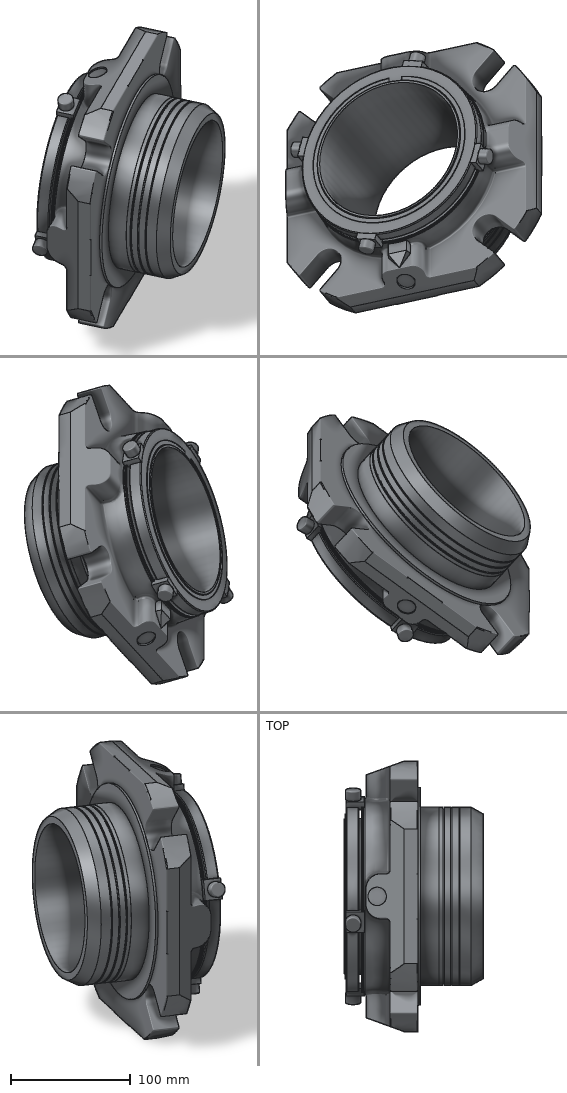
import cadquery as cq
import math

TOLERANCE = 0.01

OVERALL_LENGTH = 115.93
FLANGE_WIDTH = 225.65
BORE_RADIUS = 124.99 / 2

FLANGE_FRONT_X = 38.3
FLANGE_BACK_X = 61.3
BEVEL_START_X = 50.0
BEVEL_ANGLE = 20.0
CORNER_RADIUS = 126.0
SLOT_RADIUS = 12.5
SLOT_CENTER_RADIUS = 102.3
RIM_ROUND = 0.8
SLOT_MOUTH_ROUND = 1.5

GASKET_RADIUS = 90.8
GASKET_BACK_X = 63.4

HUB_FRONT_X = 17.2
HUB_FRONT_RADIUS = 80.2
HUB_BASE_RADIUS = 81.7
HUB_OVERHANG = 8.0
HUB_ROOT_ROUND = 2.5
BOSS_ROOT_ROUND = 3.5
NOSE_FRONT_X = 14.4
NOSE_BACK_X = 16.0
NOSE_RADIUS = 160.27 / 2
NOSE_CHAMFER = 0.4
NECK_RADIUS = 79.4

BOSS_HALF_WIDTH = 18.7
BOSS_FRONT_X = 18.2
BOSS_CORNER_RADIUS = 12.0
LOW_BOSS_FRONT_X = 23.2
LOW_BOSS_CORNER_RADIUS = 8.5
BOSS_BASE_RADIUS = 70.0
BOSS_HEIGHT = FLANGE_WIDTH / 2 - BOSS_BASE_RADIUS
RECESS_DIAMETER = 15.34
RECESS_X = 27.5
LOW_RECESS_X = 37.0
RECESS_DEPTH = 1.6

POINTER_HALF_WIDTH = 10.0
POINTER_SHOULDER_RADIUS = 90.5
POINTER_TIP_RADIUS = 102.0
POINTER_FOLD_RADIUS = 89.5
POINTER_FRONT_X = 18.5
POINTER_DRAFT = 20.0

SLEEVE_RADIUS = 130.15 / 2
SLEEVE_CHAMFER = 0.7
CLAMP_FRONT_X = 1.5
CLAMP_BACK_X = 12.5
CLAMP_RADIUS = 158.75 / 2
CLAMP_CHAMFER = 0.9
COLLAR_FRONT_X = 0.75
COLLAR_RADIUS = 68.8
COLLAR_GAP = 11.5

SCREW_TILT = 15.0
SCREW_X = 7.4
SCREW_HEAD_DIAMETER = 13.0
SCREW_TOP_RADIUS = 92.1
SCREW_EDGE_ROUND = 1.2
PAD_FRONT_X = 1.6
PAD_BACK_X = 16.8
PAD_WIDTH = 17.7
PAD_BASE_RADIUS = 77.0
PAD_TOP_RADIUS = 83.8

BARREL_RADIUS = 148.84 / 2
BARREL_CHAMFER_X = 105.7
BARREL_END_RADIUS = 68.7
BARREL_STEP_X = 79.1
BARREL_STEP_RADIUS = 149.25 / 2
BARREL_GROOVES = (
    (82.3, 1.2, 73.0),
    (88.8, 1.2, 74.0),
    (95.6, 1.0, 74.0),
)


def ring(front_x, back_x, outer_radius, inner_radius=BORE_RADIUS):
    """Plain ring about the X axis."""
    section = cq.Workplane("YZ").workplane(offset=front_x)
    return section.circle(outer_radius).circle(inner_radius).extrude(back_x - front_x)


LARGEST_CIRCLES = cq.selectors.RadiusNthSelector(-1)


def about_axis(body, angle):
    return body.rotate((0, 0, 0), (1, 0, 0), angle)


def edges_where(body, is_wanted):
    return [edge for edge in body.edges().vals() if is_wanted(edge)]


def is_slot_mouth(edge):
    """Straight corner between a slot wall and the turned plate corner."""
    middle = edge.positionAt(0.5)
    at_corner = abs(math.hypot(middle.y, middle.z) - CORNER_RADIUS) < TOLERANCE
    off_sides = max(abs(middle.y), abs(middle.z)) < FLANGE_WIDTH / 2 - TOLERANCE
    return edge.geomType() == "LINE" and at_corner and off_sides


def make_hub():
    """Slightly tapered hub, reaching forward of its front face for the root rounds."""
    slope = (HUB_BASE_RADIUS - HUB_FRONT_RADIUS) / (FLANGE_FRONT_X - HUB_FRONT_X)
    blank_front_x = HUB_FRONT_X - HUB_OVERHANG
    return (
        cq.Workplane("XY")
        .moveTo(blank_front_x, BORE_RADIUS)
        .lineTo(blank_front_x, HUB_FRONT_RADIUS - slope * HUB_OVERHANG)
        .lineTo(FLANGE_FRONT_X, HUB_BASE_RADIUS)
        .lineTo(FLANGE_FRONT_X, BORE_RADIUS)
        .close()
        .revolve(360, (0, 0, 0), (1, 0, 0))
    )


def make_boss(front_x, corner_radius):
    """Boss on the +Z side with a rounded nose."""
    half = BOSS_HALF_WIDTH
    shoulder_x = front_x + corner_radius
    return (
        cq.Workplane("XY")
        .workplane(offset=BOSS_BASE_RADIUS)
        .moveTo(FLANGE_BACK_X, half)
        .lineTo(shoulder_x, half)
        .radiusArc((front_x, half - corner_radius), -corner_radius)
        .lineTo(front_x, corner_radius - half)
        .radiusArc((shoulder_x, -half), -corner_radius)
        .lineTo(FLANGE_BACK_X, -half)
        .close()
        .extrude(BOSS_HEIGHT)
    )


def make_plate():
    """Square plate with turned corners and four open diagonal slots."""
    thickness = FLANGE_BACK_X - FLANGE_FRONT_X
    plane = cq.Workplane("YZ").workplane(offset=FLANGE_FRONT_X)
    plate = plane.rect(FLANGE_WIDTH, FLANGE_WIDTH).extrude(thickness)
    plate = plate.intersect(ring(FLANGE_FRONT_X, FLANGE_BACK_X, CORNER_RADIUS))
    slot_length = CORNER_RADIUS
    slot = (
        plane.center(SLOT_CENTER_RADIUS + slot_length / 2, 0)
        .slot2D(slot_length + 2 * SLOT_RADIUS, 2 * SLOT_RADIUS)
        .extrude(thickness)
    )
    for angle in (45, 135, 225, 315):
        plate = plate.cut(about_axis(slot, angle))
    plate = plate.newObject(edges_where(plate, is_slot_mouth)).fillet(SLOT_MOUTH_ROUND)
    return plate.faces(">X").edges().fillet(RIM_ROUND)


def make_envelope():
    """Square block tapering towards the front; its sides bevel plate and bosses."""
    plane = cq.Workplane("YZ").workplane(offset=BEVEL_START_X)
    block = plane.rect(FLANGE_WIDTH, FLANGE_WIDTH).extrude(FLANGE_BACK_X - BEVEL_START_X)
    bevel = plane.rect(FLANGE_WIDTH, FLANGE_WIDTH).extrude(-BEVEL_START_X, taper=BEVEL_ANGLE)
    return block.union(bevel)


def make_pointer():
    """Drafted arrow plate on the lower boss, its face folding back to its tip."""
    half = POINTER_HALF_WIDTH
    side = (
        cq.Workplane("XZ")
        .moveTo(POINTER_FRONT_X, -BOSS_BASE_RADIUS)
        .lineTo(POINTER_FRONT_X, -POINTER_FOLD_RADIUS)
        .lineTo(LOW_BOSS_FRONT_X, -POINTER_TIP_RADIUS)
        .lineTo(LOW_BOSS_FRONT_X, -BOSS_BASE_RADIUS)
        .close()
        .extrude(half, both=True)
    )
    outline = (
        cq.Workplane("YZ")
        .workplane(offset=LOW_BOSS_FRONT_X)
        .moveTo(-half, -BOSS_BASE_RADIUS)
        .lineTo(-half, -POINTER_SHOULDER_RADIUS)
        .lineTo(0, -POINTER_TIP_RADIUS)
        .lineTo(half, -POINTER_SHOULDER_RADIUS)
        .lineTo(half, -BOSS_BASE_RADIUS)
        .close()
        .extrude(POINTER_FRONT_X - LOW_BOSS_FRONT_X, taper=POINTER_DRAFT)
    )
    return side.intersect(outline)


def make_recess(center_x):
    """Shallow round recess in the +Z bevel, its floor parallel to the bevel."""
    cylinder = (
        cq.Workplane("XY")
        .workplane(offset=BOSS_BASE_RADIUS)
        .center(center_x, 0)
        .circle(RECESS_DIAMETER / 2)
        .extrude(BOSS_HEIGHT)
    )
    return cylinder.cut(make_envelope().translate((0, 0, -RECESS_DEPTH)))


def is_boss_root(edge):
    """Foot of a boss on the hub cone or on the plate front."""
    middle = edge.positionAt(0.5)
    if edge.geomType() == "LINE":
        side = min(abs(middle.y), abs(middle.z))
        return abs(middle.x - FLANGE_FRONT_X) < TOLERANCE and abs(side - BOSS_HALF_WIDTH) < TOLERANCE
    on_hub = BORE_RADIUS + TOLERANCE < math.hypot(middle.y, middle.z) < HUB_BASE_RADIUS - TOLERANCE
    return on_hub and HUB_FRONT_X < middle.x < FLANGE_FRONT_X - TOLERANCE


def is_hub_root(edge):
    """Circle where the hub meets the plate front."""
    middle = edge.positionAt(0.5)
    on_front = abs(middle.x - FLANGE_FRONT_X) < TOLERANCE
    return on_front and abs(math.hypot(middle.y, middle.z) - HUB_BASE_RADIUS) < TOLERANCE


def is_rim(edge):
    """Outer front edge: around the bevelled faces or around the plate front and its slots."""
    if edge.BoundingBox().xmax > BEVEL_START_X - TOLERANCE:
        return False
    middle = edge.positionAt(0.5)
    width = max(abs(middle.y), abs(middle.z))
    side = min(abs(middle.y), abs(middle.z))
    bevel_depth = (BEVEL_START_X - middle.x) * math.tan(math.radians(BEVEL_ANGLE))
    on_bevel = abs(width - (FLANGE_WIDTH / 2 - bevel_depth)) < TOLERANCE
    on_front = abs(middle.x - FLANGE_FRONT_X) < TOLERANCE
    beyond_roots = (
        math.hypot(width, side) > HUB_BASE_RADIUS + HUB_ROOT_ROUND + TOLERANCE
        and side > BOSS_HALF_WIDTH + BOSS_ROOT_ROUND + TOLERANCE
    )
    return on_bevel or (on_front and beyond_roots)


def make_housing():
    """Flange, hub and four bosses, with shallow recesses in the upper and lower bevel."""
    boss = make_boss(BOSS_FRONT_X, BOSS_CORNER_RADIUS)
    low_boss = make_boss(LOW_BOSS_FRONT_X, LOW_BOSS_CORNER_RADIUS)
    housing = make_plate().union(make_hub())
    for angle in (0, 90, 270):
        housing = housing.union(about_axis(boss, angle))
    housing = housing.union(about_axis(low_boss, 180))
    housing = housing.newObject(edges_where(housing, is_boss_root)).fillet(BOSS_ROOT_ROUND)
    housing = housing.newObject(edges_where(housing, is_hub_root)).fillet(HUB_ROOT_ROUND)

    housing = housing.intersect(make_envelope())
    housing = housing.newObject(edges_where(housing, is_rim)).fillet(RIM_ROUND)

    hub_overhang = ring(HUB_FRONT_X - HUB_OVERHANG, HUB_FRONT_X, CORNER_RADIUS)
    housing = housing.cut(hub_overhang).union(make_pointer())
    low_recess = about_axis(make_recess(LOW_RECESS_X), 180)
    return housing.cut(make_recess(RECESS_X)).cut(low_recess)


def make_clamp():
    """Chamfered clamp ring with a split collar and four screws on pads."""
    clamp = ring(CLAMP_FRONT_X, CLAMP_BACK_X, CLAMP_RADIUS)
    clamp = clamp.edges(LARGEST_CIRCLES).chamfer(CLAMP_CHAMFER)
    collar = ring(COLLAR_FRONT_X, CLAMP_FRONT_X, COLLAR_RADIUS)
    gap = cq.Workplane("XY").box(
        CLAMP_FRONT_X, COLLAR_GAP, COLLAR_RADIUS, centered=False
    ).translate((0, -COLLAR_GAP, 0))
    clamp = clamp.union(collar.cut(gap))
    pad = cq.Workplane("XY").box(
        PAD_BACK_X - PAD_FRONT_X, PAD_WIDTH, PAD_TOP_RADIUS - PAD_BASE_RADIUS, centered=(False, True, False)
    ).translate((PAD_FRONT_X, 0, PAD_BASE_RADIUS))
    screw = (
        cq.Workplane("XY")
        .workplane(offset=PAD_TOP_RADIUS)
        .center(SCREW_X, 0)
        .circle(SCREW_HEAD_DIAMETER / 2)
        .extrude(SCREW_TOP_RADIUS - PAD_TOP_RADIUS)
        .faces(">Z")
        .edges()
        .fillet(SCREW_EDGE_ROUND)
    )
    for quarter in range(4):
        clamp = clamp.union(about_axis(pad.union(screw), SCREW_TILT + 90 * quarter))
    return clamp


def make_barrel():
    """Rear barrel with a stepped shoulder, narrow grooves and a lead-in chamfer."""
    barrel = (
        cq.Workplane("XY")
        .moveTo(FLANGE_BACK_X, BORE_RADIUS)
        .lineTo(FLANGE_BACK_X, BARREL_STEP_RADIUS)
        .lineTo(BARREL_STEP_X, BARREL_STEP_RADIUS)
        .lineTo(BARREL_STEP_X, BARREL_RADIUS)
        .lineTo(BARREL_CHAMFER_X, BARREL_RADIUS)
        .lineTo(OVERALL_LENGTH, BARREL_END_RADIUS)
        .lineTo(OVERALL_LENGTH, BORE_RADIUS)
        .close()
        .revolve(360, (0, 0, 0), (1, 0, 0))
    )
    for start_x, width, floor_radius in BARREL_GROOVES:
        barrel = barrel.cut(ring(start_x, start_x + width, BARREL_STEP_RADIUS, floor_radius))
    return barrel


def make_sleeve():
    """Inner sleeve, and the nose ring with its neck in front of the hub."""
    sleeve = ring(0, FLANGE_BACK_X, SLEEVE_RADIUS)
    sleeve = sleeve.faces("<X").edges(LARGEST_CIRCLES).chamfer(SLEEVE_CHAMFER)
    nose = ring(NOSE_FRONT_X, NOSE_BACK_X, NOSE_RADIUS)
    nose = nose.edges(LARGEST_CIRCLES).chamfer(NOSE_CHAMFER)
    return sleeve.union(nose).union(ring(NOSE_BACK_X, HUB_FRONT_X, NECK_RADIUS))


result = (
    make_housing()
    .union(make_sleeve())
    .union(make_clamp())
    .union(ring(FLANGE_BACK_X, GASKET_BACK_X, GASKET_RADIUS))
    .union(make_barrel())
)